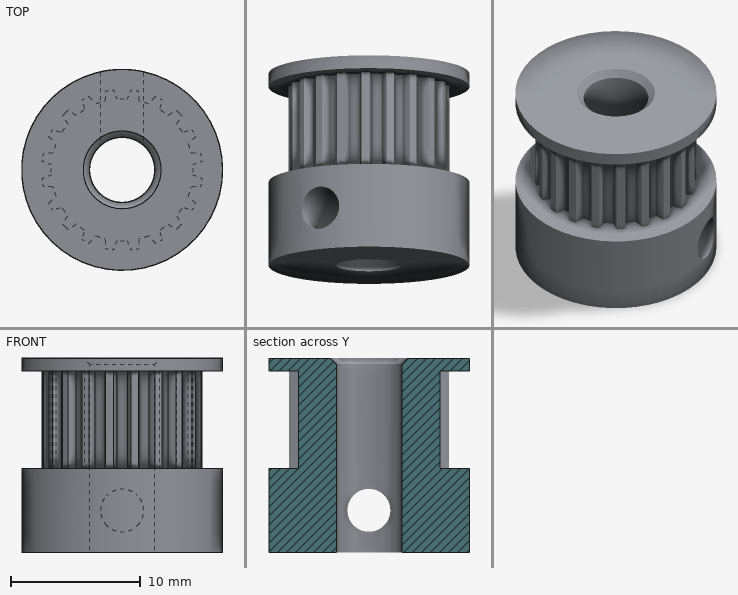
import cadquery as cq
import math

flange_diameter = 15.5
hub_height = 6.5
toothed_height = 7.5
flange_thickness = 1.0
bore_diameter = 5.0
bore_chamfer = 0.5
tooth_count = 20
tooth_tip_radius = 6.2
groove_mouth_width = 1.33
groove_floor_width = 0.8
groove_depth = 0.73
set_screw_diameter = 3.3

total_height = hub_height + toothed_height + flange_thickness
groove_floor_radius = tooth_tip_radius - groove_depth
tooth_corner_radius = math.sqrt(tooth_tip_radius**2 - (groove_mouth_width / 2) ** 2)
set_screw_height = hub_height / 2


def cylinder(diameter, height, base):
    """Upright cylinder centred on the pulley axis, starting at height base."""
    return cq.Workplane("XY").workplane(offset=base).circle(diameter / 2).extrude(height)


def toothed_section():
    """Belt section with flat-bottomed grooves that flare outwards, one of them centred on +X."""
    section = cylinder(2 * tooth_tip_radius, toothed_height, hub_height)
    groove = (
        cq.Workplane("XY")
        .workplane(offset=hub_height)
        .polyline([
            (groove_floor_radius, -groove_floor_width / 2),
            (tooth_corner_radius, -groove_mouth_width / 2),
            (flange_diameter / 2, -groove_mouth_width / 2),
            (flange_diameter / 2, groove_mouth_width / 2),
            (tooth_corner_radius, groove_mouth_width / 2),
            (groove_floor_radius, groove_floor_width / 2),
        ])
        .close()
        .extrude(toothed_height)
    )
    for index in range(tooth_count):
        angle = index * 360 / tooth_count
        section = section.cut(groove.rotate((0, 0, 0), (0, 0, 1), angle))
    return section


def bore():
    """Through bore with a 45 degree countersink at the top."""
    bore_radius = bore_diameter / 2
    half_profile = [
        (0, 0),
        (bore_radius, 0),
        (bore_radius, total_height - bore_chamfer),
        (bore_radius + bore_chamfer, total_height),
        (0, total_height),
    ]
    return cq.Workplane("XZ").polyline(half_profile).close().revolve(360, (0, 0), (0, 1))


def set_screw_hole():
    """Radial hole from the bore axis out through the +Y side of the hub."""
    return (
        cq.Workplane("XZ")
        .center(0, set_screw_height)
        .circle(set_screw_diameter / 2)
        .extrude(-flange_diameter / 2)
    )


hub = cylinder(flange_diameter, hub_height, 0)
flange = cylinder(flange_diameter, flange_thickness, hub_height + toothed_height)
result = hub.union(toothed_section()).union(flange).cut(bore()).cut(set_screw_hole())